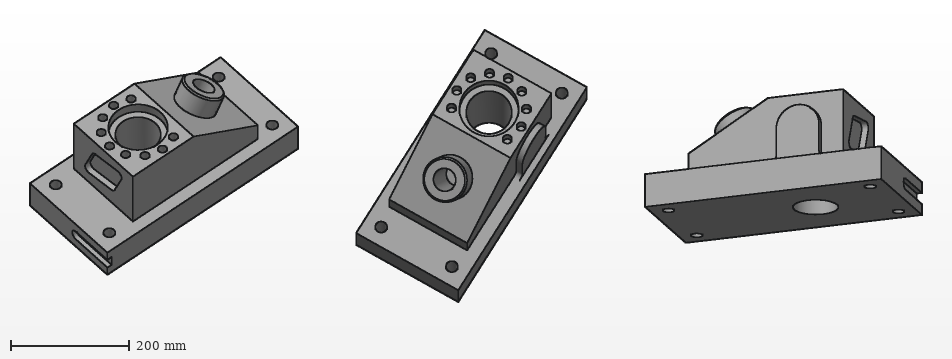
import cadquery as cq
import math

BASE_WIDTH = 201.5
BASE_LENGTH = 426.2
BASE_HEIGHT = 59.0
BASE_FRONT_Y = -BASE_LENGTH / 2

MOUNT_HOLE_DIAMETER = 20.0
MOUNT_SPACING_X = 139.5
MOUNT_SPACING_Y = 364.0

SLOT_HEIGHT = 20.0
SLOT_DEPTH = 9.5
SLOT_START_X = 9.5

HOUSING_WIDTH = 154.0
HOUSING_FRONT_Y = -135.5
HOUSING_BACK_Y = 143.5
HOUSING_TOP_Z = 177.7
SLOPE_ANGLE = 30.0
SLOPE_TANGENT = math.tan(math.radians(SLOPE_ANGLE))

BORE_Y = -58.0
BORE_DIAMETER = 77.0
COUNTERBORE_DIAMETER = 100.5
COUNTERBORE_DEPTH = 19.5
RING_RADIUS = 63.5
RING_HOLE_DIAMETER = 15.8
RING_HOLE_DEPTH = 20.0
RING_HOLE_COUNT = 9
RING_STEP = 30.0
RING_START_ANGLE = 150.0

BOSS_Y = 69.5
BOSS_DIAMETER = 77.0
BOSS_LENGTH = 39.2
BOSS_CHAMFER = 3.0
BOSS_HOLE_DIAMETER = 39.2
BOSS_HOLE_DEPTH = 85.2

PAD_THICKNESS = 12.0
PAD_WIDTH = BORE_DIAMETER
PAD_TOP_Z = 155.0
PAD_FOOT_RADIUS = 9.5

POCKET_LONG_SIDE = 80.5
POCKET_SHORT_SIDE = 70.8
POCKET_LONG_ANGLE = 8.0
POCKET_CORNER_ANGLE = 60.0
POCKET_CORNER_RADIUS = 9.5
POCKET_DEPTH = 12.0
POCKET_CENTER_Z = 119.8


def front_plane(y, z):
    """Sketch plane facing -Y, with local x along X and local y along Z."""
    return cq.Workplane("XZ", origin=(0, y, z))


def make_base():
    base = cq.Workplane("XY").box(BASE_WIDTH, BASE_LENGTH, BASE_HEIGHT, centered=(True, True, False))
    return (
        base.faces(">Z")
        .workplane()
        .rect(MOUNT_SPACING_X, MOUNT_SPACING_Y, forConstruction=True)
        .vertices()
        .hole(MOUNT_HOLE_DIAMETER)
    )


def make_slot():
    end_radius = SLOT_HEIGHT / 2
    end_center_x = SLOT_START_X + end_radius
    side_x = BASE_WIDTH / 2
    return (
        front_plane(BASE_FRONT_Y, BASE_HEIGHT / 2)
        .moveTo(side_x, end_radius)
        .lineTo(end_center_x, end_radius)
        .threePointArc((SLOT_START_X, 0), (end_center_x, -end_radius))
        .lineTo(side_x, -end_radius)
        .close()
        .extrude(-SLOT_DEPTH)
    )


def make_housing():
    back_top_z = HOUSING_TOP_Z - HOUSING_BACK_Y * SLOPE_TANGENT
    profile = [
        (HOUSING_FRONT_Y, BASE_HEIGHT),
        (HOUSING_BACK_Y, BASE_HEIGHT),
        (HOUSING_BACK_Y, back_top_z),
        (0, HOUSING_TOP_Z),
        (HOUSING_FRONT_Y, HOUSING_TOP_Z),
    ]
    return cq.Workplane("YZ").polyline(profile).close().extrude(HOUSING_WIDTH / 2, both=True)


def make_pad():
    half_width = PAD_WIDTH / 2
    foot_half_width = half_width + PAD_FOOT_RADIUS
    arch_z = PAD_TOP_Z - half_width
    foot_top_z = BASE_HEIGHT + PAD_FOOT_RADIUS
    arc_inset = PAD_FOOT_RADIUS * math.sqrt(0.5)
    arc_x = foot_half_width - arc_inset
    arc_z = foot_top_z - arc_inset
    return (
        cq.Workplane("YZ", origin=(-HOUSING_WIDTH / 2, BORE_Y, 0))
        .moveTo(-foot_half_width, BASE_HEIGHT)
        .threePointArc((-arc_x, arc_z), (-half_width, foot_top_z))
        .lineTo(-half_width, arch_z)
        .threePointArc((0, PAD_TOP_Z), (half_width, arch_z))
        .lineTo(half_width, foot_top_z)
        .threePointArc((arc_x, arc_z), (foot_half_width, BASE_HEIGHT))
        .close()
        .extrude(-PAD_THICKNESS)
    )


def boss_plane():
    """Sketch plane on the slope at the boss axis, facing away from the housing."""
    slope = math.radians(SLOPE_ANGLE)
    return cq.Plane(
        origin=(0, BOSS_Y, HOUSING_TOP_Z - BOSS_Y * SLOPE_TANGENT),
        xDir=(1, 0, 0),
        normal=(0, math.sin(slope), math.cos(slope)),
    )


def make_boss():
    boss = cq.Workplane(boss_plane()).circle(BOSS_DIAMETER / 2).extrude(BOSS_LENGTH)
    outer_end = cq.selectors.DirectionMinMaxSelector(boss_plane().zDir, True)
    return boss.faces(outer_end).chamfer(BOSS_CHAMFER)


def make_boss_hole():
    return (
        cq.Workplane(boss_plane())
        .workplane(offset=BOSS_LENGTH)
        .circle(BOSS_HOLE_DIAMETER / 2)
        .extrude(-BOSS_HOLE_DEPTH)
    )


def make_bore():
    top = cq.Workplane("XY", origin=(0, BORE_Y, HOUSING_TOP_Z))
    bore = top.circle(BORE_DIAMETER / 2).extrude(-HOUSING_TOP_Z)
    counterbore = top.circle(COUNTERBORE_DIAMETER / 2).extrude(-COUNTERBORE_DEPTH)
    sweep = RING_STEP * (RING_HOLE_COUNT - 1)
    ring_holes = (
        top.polarArray(RING_RADIUS, RING_START_ANGLE, sweep, RING_HOLE_COUNT)
        .circle(RING_HOLE_DIAMETER / 2)
        .extrude(-RING_HOLE_DEPTH)
    )
    return bore.union(counterbore).union(ring_holes)


def make_pocket():
    long_angle = math.radians(POCKET_LONG_ANGLE)
    short_angle = math.radians(POCKET_LONG_ANGLE + POCKET_CORNER_ANGLE)
    long_x = POCKET_LONG_SIDE / 2 * math.cos(long_angle)
    long_z = POCKET_LONG_SIDE / 2 * math.sin(long_angle)
    short_x = POCKET_SHORT_SIDE / 2 * math.cos(short_angle)
    short_z = POCKET_SHORT_SIDE / 2 * math.sin(short_angle)
    corners = [
        (long_x + short_x, long_z + short_z),
        (short_x - long_x, short_z - long_z),
        (-long_x - short_x, -long_z - short_z),
        (long_x - short_x, long_z - short_z),
    ]
    return (
        front_plane(HOUSING_FRONT_Y, POCKET_CENTER_Z)
        .polyline(corners)
        .close()
        .extrude(-POCKET_DEPTH)
        .edges("|Y")
        .fillet(POCKET_CORNER_RADIUS)
    )


body = make_base().union(make_housing()).union(make_pad()).union(make_boss())
result = body.cut(make_bore()).cut(make_boss_hole()).cut(make_pocket()).cut(make_slot())